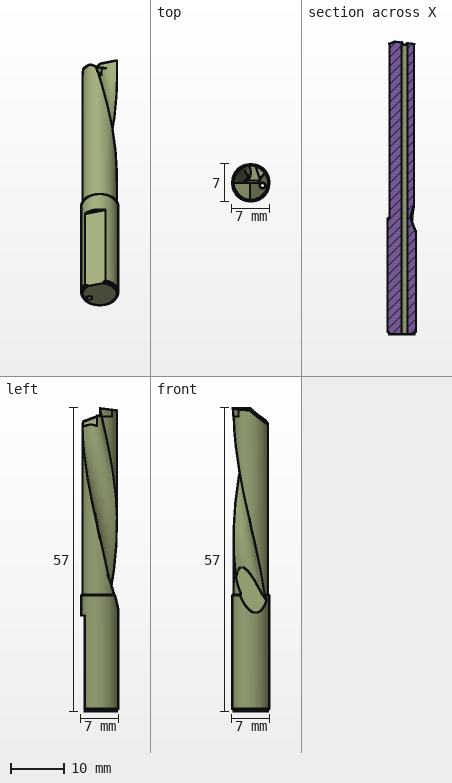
import cadquery as cq
import math

TOTAL_LENGTH = 57.0
SHANK_RADIUS = 3.5
SHANK_LENGTH = 22.0
BODY_RADIUS = 3.25
SHANK_END_CHAMFER = 0.5
SHOULDER_CHAMFER = SHANK_RADIUS - BODY_RADIUS

FLAT_DISTANCE = 2.85
FLAT_LENGTH = 18.0

HOLE_DIAMETER = 1.0
HOLE_X = 2.2
HOLE_Y = -0.5

FLUTE_LEAD = 88.0
FLUTE_ROOT_RADIUS = 2.45
FLUTE_HEEL_X = 0.5
FLUTE_START_Z = 14.0
RUNOUT_POINT = (0.83, -3.4, 18.56)
RUNOUT_AZIMUTH = -74.7
RUNOUT_TILT = 21.5
RUNOUT_TOP_Z = 28.0

RELIEF_ANGLE = 7.0
SLOPE_ANGLE = 41.0
SLOPE_START_X = -0.15
LEDGE_Z = 55.6
GASH_WALL_Y = 0.48
HEEL_POINT = (0.9, 2.9, 54.6)
HEEL_NORMAL = (0.14, 0.43, 1.0)
GASH_POINT = (0.2, 3.0, 53.95)
GASH_NORMAL = (-0.82, 0.1, 1.0)
TOOTH_CORNER = (-3.4, 0)
TOOTH_LAND_END = (-3.05, -1.1)
TOOTH_HEEL = (-2.3, -2.3)
TOOTH_HEIGHT = 1.6

REACH = 60.0
SECTION_REACH = 6.0


def half_space(point, normal):
    """Large block on the side of a plane that its normal points to."""
    return cq.Workplane(cq.Plane(origin=point, normal=normal)).rect(REACH, REACH).extrude(REACH)


def corner_block(y_min, z_min):
    """Large block with y above y_min and z above z_min."""
    block = cq.Workplane("XY").box(REACH, REACH, REACH, centered=(True, False, False))
    return block.translate((0, y_min, z_min))


def make_blank():
    """Stepped round bar with the shank flat."""
    shank = cq.Workplane("XY").circle(SHANK_RADIUS).extrude(SHANK_LENGTH)
    shank = shank.faces("<Z").chamfer(SHANK_END_CHAMFER)
    shank = shank.faces(">Z").chamfer(SHOULDER_CHAMFER)
    flat = corner_block(FLAT_DISTANCE, FLAT_LENGTH - REACH)
    body = cq.Workplane("XY").circle(BODY_RADIUS).extrude(TOTAL_LENGTH)
    return shank.cut(flat).union(body.cut(flat))


def shape_tooth(part):
    """Two flats behind the cutting corner; the first starts slightly outside the round body."""
    tooth = cq.Workplane("XY", origin=(0, 0, TOTAL_LENGTH - TOOTH_HEIGHT))
    heel_y = TOOTH_HEEL[1]
    trimmed = tooth.polyline([
        TOOTH_CORNER,
        TOOTH_LAND_END,
        TOOTH_HEEL,
        (-SECTION_REACH, heel_y),
        (-SECTION_REACH, 0),
    ]).close().extrude(TOOTH_HEIGHT)
    added = tooth.polyline([
        TOOTH_CORNER,
        TOOTH_LAND_END,
        TOOTH_HEEL,
        (0, 0),
    ]).close().extrude(TOOTH_HEIGHT)
    return part.cut(trimmed).union(added)


def make_flute():
    """Twisted groove that ends in a sloping flat at its lower end."""
    height = TOTAL_LENGTH - FLUTE_START_Z
    twist = 360.0 * height / FLUTE_LEAD
    root_x = FLUTE_HEEL_X - FLUTE_ROOT_RADIUS
    diagonal = FLUTE_ROOT_RADIUS * math.sqrt(0.5)
    root_middle = (root_x + diagonal, FLUTE_ROOT_RADIUS - diagonal)
    section = (
        cq.Workplane("XY")
        .transformed(rotate=(0, 0, twist), offset=(0, 0, FLUTE_START_Z))
        .moveTo(-SECTION_REACH, 0)
        .lineTo(root_x, 0)
        .threePointArc(root_middle, (FLUTE_HEEL_X, FLUTE_ROOT_RADIUS))
        .lineTo(FLUTE_HEEL_X, SECTION_REACH)
        .lineTo(-SECTION_REACH, SECTION_REACH)
        .close()
    )
    groove = section.twistExtrude(height, -twist)
    azimuth = math.radians(RUNOUT_AZIMUTH)
    tilt = math.radians(RUNOUT_TILT)
    runout_normal = (
        math.cos(tilt) * math.cos(azimuth),
        math.cos(tilt) * math.sin(azimuth),
        math.sin(tilt),
    )
    above_runout = corner_block(-REACH / 2, RUNOUT_TOP_Z)
    swept_room = half_space(RUNOUT_POINT, runout_normal).union(above_runout)
    return groove.intersect(swept_room)


def cut_tip(part):
    """Relief and slope on the end, then the ledge, heel and gash behind the cutting edge."""
    apex = (0, 0, TOTAL_LENGTH)
    relief = math.tan(math.radians(RELIEF_ANGLE))
    slope = math.tan(math.radians(SLOPE_ANGLE))
    part = part.cut(half_space(apex, (0, -relief, 1)))
    slope_start = (SLOPE_START_X, 0, TOTAL_LENGTH)
    part = part.cut(half_space(slope_start, (slope, -relief, 1)))
    part = part.cut(corner_block(0, LEDGE_Z))
    behind_wall = corner_block(GASH_WALL_Y, SHANK_LENGTH)
    part = part.cut(half_space(HEEL_POINT, HEEL_NORMAL).intersect(behind_wall))
    return part.cut(half_space(GASH_POINT, GASH_NORMAL).intersect(behind_wall))


def make_hole():
    """Coolant hole along the whole length."""
    return cq.Workplane("XY").center(HOLE_X, HOLE_Y).circle(HOLE_DIAMETER / 2).extrude(TOTAL_LENGTH)


blank = shape_tooth(make_blank())
result = cut_tip(blank.cut(make_flute())).cut(make_hole())